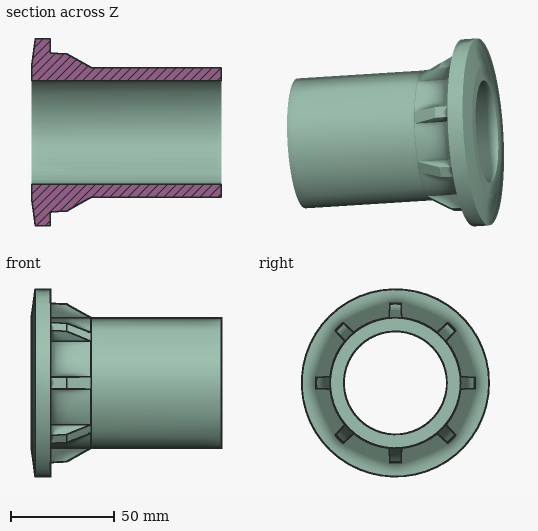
import cadquery as cq

total_length = 92.0
tube_radius = 31.5
bore_radius = 24.85

flange_radius = 45.35
face_radius = 32.0
cone_depth = 1.8
flange_back = 9.3

collar_radius = 31.7
rib_root_radius = 38.6
rib_bend_radius = 38.2
rib_bend_x = 17.0
collar_end = 29.0

rib_count = 8
rib_base_width = 6.0
rib_tip_width = 5.4
rib_blank_reach = 40.0


def revolve_about_x(outline):
    """Solid of revolution about X from an (x, radius) outline."""
    return cq.Workplane("XY").polyline(outline).close().revolve(360, (0, 0, 0), (1, 0, 0))


def cylinder_about_x(radius, start, length):
    return cq.Workplane("YZ").workplane(offset=start).circle(radius).extrude(length)


def flange_and_tube():
    return revolve_about_x([
        (0, 0),
        (0, face_radius),
        (cone_depth, flange_radius),
        (flange_back, flange_radius),
        (flange_back, tube_radius),
        (total_length, tube_radius),
        (total_length, 0),
    ])


def rib_envelope():
    """Turned solid that the ribs and the collar are trimmed to."""
    return revolve_about_x([
        (flange_back, 0),
        (flange_back, rib_root_radius),
        (rib_bend_x, rib_bend_radius),
        (collar_end, tube_radius),
        (collar_end, 0),
    ])


def rib_blank(angle):
    """One drafted radial bar, turned to its place about X."""
    root_half = rib_base_width / 2
    tip_half = rib_tip_width / 2
    draft = (root_half - tip_half) / (rib_root_radius - collar_radius)
    inner_half = root_half + draft * (collar_radius - bore_radius)
    outer_half = tip_half - draft * (rib_blank_reach - rib_root_radius)
    section = [
        (-inner_half, bore_radius),
        (inner_half, bore_radius),
        (outer_half, rib_blank_reach),
        (-outer_half, rib_blank_reach),
    ]
    bar = cq.Workplane("YZ").workplane(offset=flange_back).polyline(section).close()
    return bar.extrude(collar_end - flange_back).rotate((0, 0, 0), (1, 0, 0), angle)


def ribbed_collar():
    collar = cylinder_about_x(collar_radius, flange_back, collar_end - flange_back)
    for index in range(rib_count):
        collar = collar.union(rib_blank(index * 360 / rib_count))
    return collar.intersect(rib_envelope())


result = flange_and_tube().union(ribbed_collar())
result = result.cut(cylinder_about_x(bore_radius, 0, total_length))